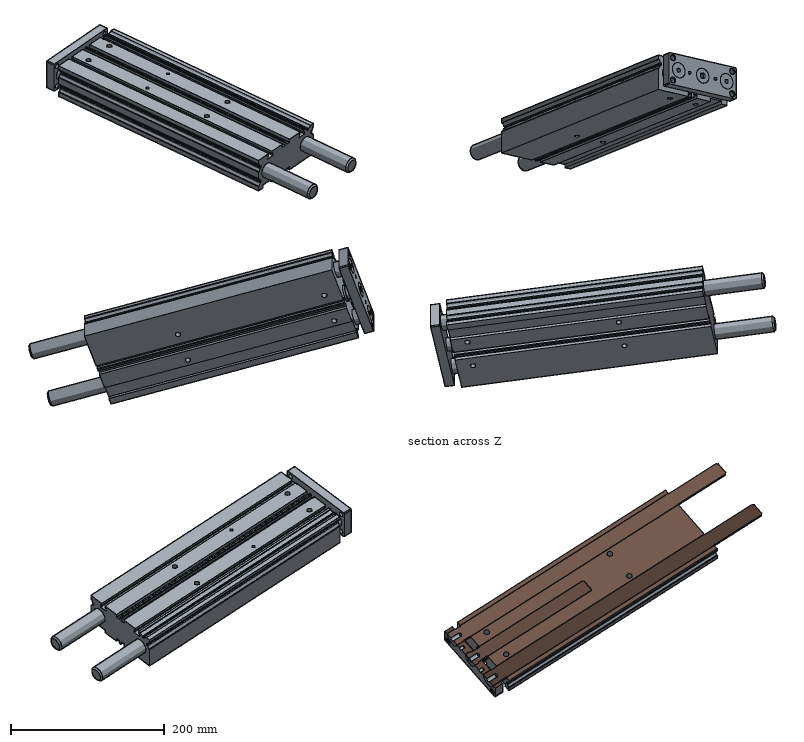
import cadquery as cq
import math

total_length = 438.0
plate_thickness = 12.3
housing_start = 21.5
housing_length = 337.5

housing_width = 112.0
housing_height = 48.0
half_width = housing_width / 2
half_height = housing_height / 2
corner_step = 1.1

slot_y = 32.0
slot_mouth = 6.5
slot_undercut = 10.5
slot_lip = 3.5
slot_depth = 8.0
center_slot_mouth = 14.0
center_slot_depth = 5.0
center_rib = 4.0
center_rib_chamfer = 1.0
bottom_channel_inner_y = 29.0
bottom_channel_outer_y = 47.0
bottom_channel_depth = 4.5

dish_mouth = 12.0
dish_lip = 1.1
dish_radius = 8.8
dish_slit = 2.5
dish_slit_depth = 2.0
side_dish_z = 11.5
top_dish_y = 44.2

hole_y = 21.0
mount_hole_x = (43.0, 242.5)
mount_hole_diameter = 6.5
dowel_hole_x = 142.5
dowel_hole_diameter = 4.0
dowel_hole_depth = 6.5

plate_width = 109.5
plate_height = 43.0
plate_edge_chamfer = 1.5
corner_hole_y = 48.0
corner_hole_z = 15.5
corner_hole_diameter = 6.5
corner_hole_chamfer = 1.0
plate_dowel_diameter = 4.0
plate_dowel_depth = 6.0

rod_y = 39.0
rod_diameter = 20.5
rod_chamfer = 2.0
socket_diameter = 5.3
socket_depth = 13.0
socket_tip_depth = 1.8
piston_diameter = 17.5
piston_head_diameter = 20.0
piston_head_length = 6.0
piston_socket_chamfer = 1.5
piston_end = housing_start + housing_length / 2
collar_diameter = 22.0
collar_length = 2.5


def x_cylinder(diameter, start, end, y=0.0, z=0.0):
    """Solid cylinder along X between two stations."""
    return (
        cq.Workplane("YZ", origin=(start, y, z)).circle(diameter / 2).extrude(end - start)
    )


def x_cone(start_diameter, end_diameter, length, start=0.0, y=0.0, z=0.0):
    """Cone along +X that narrows from its start; an end diameter of 0 makes a point."""
    return cq.Workplane(
        cq.Solid.makeCone(
            start_diameter / 2, end_diameter / 2, length, cq.Vector(start, y, z), cq.Vector(1, 0, 0)
        )
    )


def chamfer_cone(diameter, size, y=0.0, z=0.0):
    """Cutter for a 45 degree chamfer around a hole in the X = 0 plane."""
    return x_cone(diameter + 2 * size, diameter, size, y=y, z=z)


def drilled_socket(y):
    """Cutter for a blind hole with a pointed bottom in a rod's front end."""
    hole = x_cylinder(socket_diameter, 0, socket_depth, y)
    return hole.union(x_cone(socket_diameter, 0, socket_tip_depth, socket_depth, y))


def housing_bar(y_min, y_max, z_min, z_max):
    """Rectangular bar over the full housing length."""
    return cq.Workplane("XY").box(
        housing_length, y_max - y_min, z_max - z_min, centered=False
    ).translate((housing_start, y_min, z_min))


def t_slot(y, mouth, undercut):
    """Cutter for a T-slot in the top face, centred at the given Y."""
    mouth_cut = housing_bar(y - mouth / 2, y + mouth / 2, half_height - slot_depth, half_height)
    undercut_cut = housing_bar(
        y - undercut / 2, y + undercut / 2, half_height - slot_depth, half_height - slot_lip
    )
    return mouth_cut.union(undercut_cut)


def center_slot():
    """Cutter for the wide centre slot, which leaves a thin chamfered rib standing on the axis."""
    floor_z = half_height - center_slot_depth
    slot = housing_bar(-center_slot_mouth / 2, center_slot_mouth / 2, floor_z, half_height)
    rib = housing_bar(-center_rib / 2, center_rib / 2, floor_z, half_height)
    return slot.cut(rib.faces(">Z").edges("|X").chamfer(center_rib_chamfer))


def dish_groove():
    """Cutter for a dished groove with a slit along its middle, in the top face at Y = 0."""
    half_mouth = dish_mouth / 2
    half_slit = dish_slit / 2
    mid_y = (half_mouth + half_slit) / 2
    lip_z = half_height - dish_lip

    def arc_z(y):
        """Height of the dish's arc at a distance y from the middle of the groove."""
        drop = math.sqrt(dish_radius**2 - y**2) - math.sqrt(dish_radius**2 - half_mouth**2)
        return lip_z - drop

    slit_floor_z = arc_z(half_slit) - dish_slit_depth
    return (
        cq.Workplane("YZ", origin=(housing_start, 0, 0))
        .moveTo(-half_mouth, half_height)
        .lineTo(-half_mouth, lip_z)
        .threePointArc((-mid_y, arc_z(mid_y)), (-half_slit, arc_z(half_slit)))
        .lineTo(-half_slit, slit_floor_z)
        .lineTo(half_slit, slit_floor_z)
        .lineTo(half_slit, arc_z(half_slit))
        .threePointArc((mid_y, arc_z(mid_y)), (half_mouth, lip_z))
        .lineTo(half_mouth, half_height)
        .close()
        .extrude(housing_length)
    )


def side_dish(side, z):
    """Dished groove moved to the +Y (side = 1) or -Y (side = -1) face."""
    groove = dish_groove().rotate((0, 0, 0), (1, 0, 0), -90 * side)
    return groove.translate((0, side * (half_width - half_height), z))


def make_housing():
    body = housing_bar(-half_width, half_width, -half_height, half_height)

    body = body.cut(
        housing_bar(top_dish_y, half_width, half_height - corner_step, half_height)
    )
    body = body.cut(dish_groove().translate((0, top_dish_y, 0)))

    for y in (-slot_y, slot_y):
        body = body.cut(t_slot(y, slot_mouth, slot_undercut))
    body = body.cut(center_slot())
    body = body.cut(center_slot().mirror("XY"))
    body = body.cut(
        housing_bar(
            -bottom_channel_outer_y,
            -bottom_channel_inner_y,
            -half_height,
            bottom_channel_depth - half_height,
        )
    )

    for side, z in ((-1, side_dish_z), (-1, -side_dish_z), (1, side_dish_z)):
        body = body.cut(side_dish(side, z))

    mount_points = [(x, y) for x in mount_hole_x for y in (-hole_y, hole_y)]
    dowel_points = [(dowel_hole_x, y) for y in (-hole_y, hole_y)]
    top = cq.Workplane("XY", origin=(0, 0, half_height))
    body = body.cut(
        top.pushPoints(mount_points).circle(mount_hole_diameter / 2).extrude(-housing_height)
    )
    body = body.cut(
        top.pushPoints(dowel_points).circle(dowel_hole_diameter / 2).extrude(-dowel_hole_depth)
    )

    housing_end = housing_start + housing_length
    for y in (-rod_y, rod_y):
        body = body.cut(x_cylinder(rod_diameter, housing_start, housing_end, y))
    return body.cut(x_cylinder(piston_diameter, housing_start, piston_end))


def make_plate():
    plate = (
        cq.Workplane("XY")
        .box(plate_thickness, plate_width, plate_height, centered=(False, True, True))
        .edges("|X")
        .chamfer(plate_edge_chamfer)
    )

    for y in (-corner_hole_y, corner_hole_y):
        for z in (-corner_hole_z, corner_hole_z):
            hole = x_cylinder(corner_hole_diameter, 0, plate_thickness, y, z)
            plate = plate.cut(hole.union(chamfer_cone(corner_hole_diameter, corner_hole_chamfer, y, z)))

    for side in (-1, 1):
        plate = plate.cut(x_cylinder(plate_dowel_diameter, 0, plate_dowel_depth, side * hole_y))
        plate = plate.cut(x_cylinder(rod_diameter, 0, plate_thickness, side * rod_y))
    plate = plate.cut(x_cylinder(piston_diameter, 0, plate_thickness))
    return plate.cut(x_cylinder(piston_head_diameter, 0, piston_head_length))


def make_guide_rod(y):
    rod = x_cylinder(rod_diameter, 0, total_length, y).faces(">X").chamfer(rod_chamfer)
    return rod.cut(drilled_socket(y))


def make_piston_rod():
    rod = x_cylinder(piston_diameter, 0, piston_end)
    rod = rod.union(x_cylinder(piston_head_diameter, 0, piston_head_length))
    rod = rod.cut(chamfer_cone(socket_diameter, piston_socket_chamfer))
    return rod.cut(drilled_socket(0))


def make_collar():
    collar = x_cylinder(collar_diameter, housing_start - collar_length, housing_start)
    return collar.cut(x_cylinder(piston_diameter, 0, housing_start))


housing = make_housing()
plate = make_plate()
guide_rods = [make_guide_rod(y) for y in (-rod_y, rod_y)]
piston_rod = make_piston_rod()
collar = make_collar()

result = cq.Compound.makeCompound(
    [
        housing.val(),
        plate.val(),
        *[rod.val() for rod in guide_rods],
        piston_rod.val(),
        collar.val(),
    ]
)